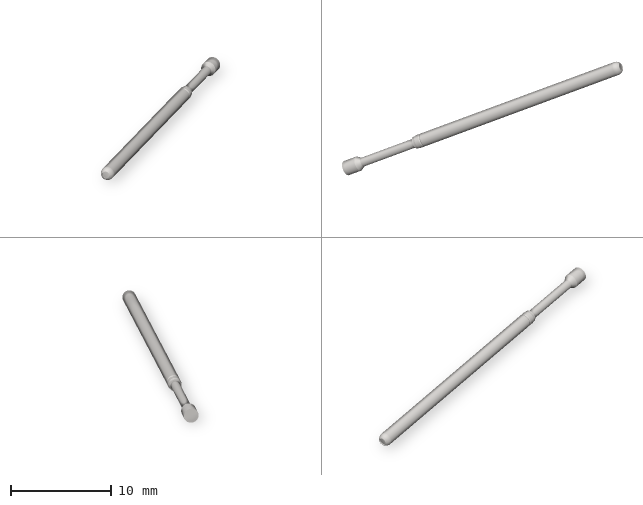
import cadquery as cq

total_length = 33.4

barrel_length = 25.0
barrel_radius = 1.36 / 2
tail_dome_length = 0.55

vent_radius = 0.74 / 2
vent_depth = 0.15

mouth_length = 0.33
mouth_radius = 1.25 / 2
groove_distance = 0.92
groove_width = 0.2
groove_depth = 0.06

plunger_radius = 0.92 / 2
head_radius = 1.5 / 2
head_length = 1.5
head_cone_length = 0.5

tail_y = -barrel_length
head_face_y = total_length - barrel_length
head_cone_y = head_face_y - head_length


def tangent_arc_radius(length, drop):
    """Radius of an arc that spans a length, drops inwards and runs parallel to the axis at one end."""
    return (length**2 + drop**2) / (2 * drop)


def make_barrel():
    """Round barrel with a domed, flat-ended tail and a mouth necked in along a concave arc."""
    return (
        cq.Workplane("XY")
        .moveTo(0, tail_y)
        .lineTo(vent_radius, tail_y)
        .radiusArc(
            (barrel_radius, tail_y + tail_dome_length),
            -tangent_arc_radius(tail_dome_length, barrel_radius - vent_radius),
        )
        .lineTo(barrel_radius, -mouth_length)
        .radiusArc(
            (mouth_radius, 0),
            tangent_arc_radius(mouth_length, barrel_radius - mouth_radius),
        )
        .lineTo(0, 0)
        .close()
        .revolve(360, (0, 0), (0, 1))
    )


def make_plunger():
    """Slim rod leaving the barrel mouth, flaring through a cone to a flat head."""
    return (
        cq.Workplane("XY")
        .lineTo(plunger_radius, 0)
        .lineTo(plunger_radius, head_cone_y - head_cone_length)
        .lineTo(head_radius, head_cone_y)
        .lineTo(head_radius, head_face_y)
        .lineTo(0, head_face_y)
        .close()
        .revolve(360, (0, 0), (0, 1))
    )


def make_groove_cutter():
    """Ring of triangular section that cuts a V-groove around the barrel."""
    root_radius = barrel_radius - groove_depth
    return (
        cq.Workplane("XY")
        .moveTo(root_radius, -groove_distance)
        .lineTo(barrel_radius, -groove_distance + groove_width / 2)
        .lineTo(barrel_radius + groove_depth, -groove_distance)
        .lineTo(barrel_radius, -groove_distance - groove_width / 2)
        .close()
        .revolve(360, (0, 0), (0, 1))
    )


def make_vent_cutter():
    """Cylinder for the blind vent hole in the tail face."""
    return cq.Workplane("XZ", origin=(0, tail_y, 0)).circle(vent_radius).extrude(-vent_depth)


result = (
    make_barrel()
    .union(make_plunger())
    .cut(make_groove_cutter())
    .cut(make_vent_cutter())
)